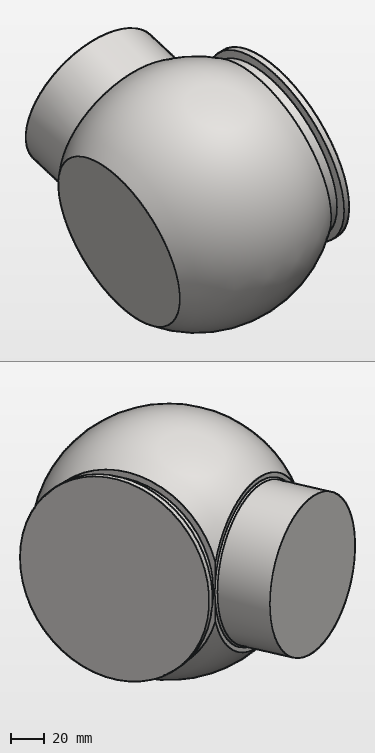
import cadquery as cq
import math

ball_radius = 82.5
front_flat = 59.0
back_flat = 51.3
side_flat = 61.7

pipe_radius = 50.8
pipe_end = 98.8
flare_size = 1.0

neck_radius = 60.4
flange_radius = 65.1
flange_end = 64.7
rim_width = 4.0
taper_width = 1.6


def make_body():
    """Ball with -Y and +Y flats, turned about the Y axis and cut flat on its -X side."""
    front_flat_radius = math.sqrt(ball_radius**2 - front_flat**2)
    back_flat_radius = math.sqrt(ball_radius**2 - back_flat**2)
    ball = (
        cq.Workplane("XY")
        .moveTo(0, -front_flat)
        .lineTo(front_flat_radius, -front_flat)
        .threePointArc((ball_radius, 0), (back_flat_radius, back_flat))
        .lineTo(0, back_flat)
        .close()
        .revolve(360, (0, 0, 0), (0, 1, 0))
    )
    cap_height = ball_radius - side_flat
    cap = cq.Workplane("YZ", origin=(-side_flat, 0, 0)).circle(ball_radius).extrude(-cap_height)
    return ball.cut(cap)


def make_pipe():
    """Solid stub with a flared root, turned about the X axis from the ball centre out to -X."""
    flare_radius = pipe_radius + flare_size
    return (
        cq.Workplane("XY")
        .lineTo(0, flare_radius)
        .lineTo(-side_flat, flare_radius)
        .lineTo(-side_flat - flare_size, pipe_radius)
        .lineTo(-pipe_end, pipe_radius)
        .lineTo(-pipe_end, 0)
        .close()
        .revolve(360, (0, 0, 0), (1, 0, 0))
    )


def make_ferrule():
    """Neck and rim with a tapered back, turned about the Y axis."""
    rim_start = flange_end - rim_width
    taper_start = rim_start - taper_width
    return (
        cq.Workplane("XY")
        .lineTo(neck_radius, 0)
        .lineTo(neck_radius, taper_start)
        .lineTo(flange_radius, rim_start)
        .lineTo(flange_radius, flange_end)
        .lineTo(0, flange_end)
        .close()
        .revolve(360, (0, 0, 0), (0, 1, 0))
    )


result = make_body().union(make_pipe()).union(make_ferrule())